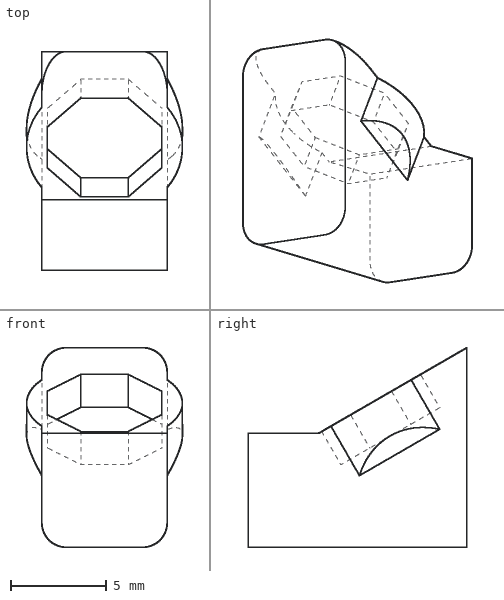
import cadquery as cq
import math

body_width = 6.6
body_length = 11.5
body_height = 10.5
step_height = 6.0
slope_angle = 30.0
corner_radius = 1.3

head_diameter = 8.2
head_depth = 3.0
head_distance_from_back = 5.04
wing_bevel_rise = 1.0
wing_overlap = 0.5

pocket_across_flats = 6.0
pocket_depth = 2.0
pocket_sides = 8

slope_radians = math.radians(slope_angle)
slope_tangent = math.tan(slope_radians)
head_radius = head_diameter / 2
slope_run = (body_height - step_height) / slope_tangent
back_y = body_length / 2
front_y = -body_length / 2
slope_foot_y = back_y - slope_run
head_center_y = back_y - head_distance_from_back
head_center_z = body_height - head_distance_from_back * slope_tangent


def make_body():
    """Bar along Y with four rounded edges, trimmed to the sloped side profile."""
    bar = (
        cq.Workplane("XY")
        .box(body_width, body_length, body_height, centered=(True, True, False))
        .edges("|Y")
        .fillet(corner_radius)
    )
    side_profile = (
        cq.Workplane("YZ")
        .moveTo(front_y, 0)
        .lineTo(back_y, 0)
        .lineTo(back_y, body_height)
        .lineTo(slope_foot_y, step_height)
        .lineTo(front_y, step_height)
        .close()
        .extrude(body_width / 2, both=True)
    )
    return bar.intersect(side_profile)


def slope_workplane():
    """Workplane on the slope at the head centre, its normal pointing out of the part."""
    return cq.Workplane(
        cq.Plane(
            origin=(0, head_center_y, head_center_z),
            xDir=(1, 0, 0),
            normal=(0, -math.sin(slope_radians), math.cos(slope_radians)),
        )
    )


def make_head_wing(side):
    """Part of the head disc beyond one side of the body, with a bevelled underside."""
    disc = slope_workplane().circle(head_radius).extrude(-head_depth)
    cross_section = (
        cq.Workplane(
            cq.Plane(
                origin=(0, head_center_y, head_center_z),
                xDir=(side, 0, 0),
                normal=(0, -side * math.cos(slope_radians), -side * math.sin(slope_radians)),
            )
        )
        .moveTo(body_width / 2 - wing_overlap, 0)
        .lineTo(head_radius, 0)
        .lineTo(head_radius, wing_bevel_rise - head_depth)
        .lineTo(body_width / 2, -head_depth)
        .lineTo(body_width / 2 - wing_overlap, -head_depth)
        .close()
        .extrude(head_radius, both=True)
    )
    return disc.intersect(cross_section)


def make_pocket():
    """Regular octagonal prism with one pair of flats facing along X."""
    corner_circle_diameter = pocket_across_flats / math.cos(math.pi / pocket_sides)
    half_side_angle = 180 / pocket_sides
    return (
        slope_workplane()
        .transformed(rotate=(0, 0, half_side_angle))
        .polygon(pocket_sides, corner_circle_diameter)
        .extrude(-pocket_depth)
    )


result = make_body()
for wing_side in (-1, 1):
    result = result.union(make_head_wing(wing_side))
result = result.cut(make_pocket()).clean()